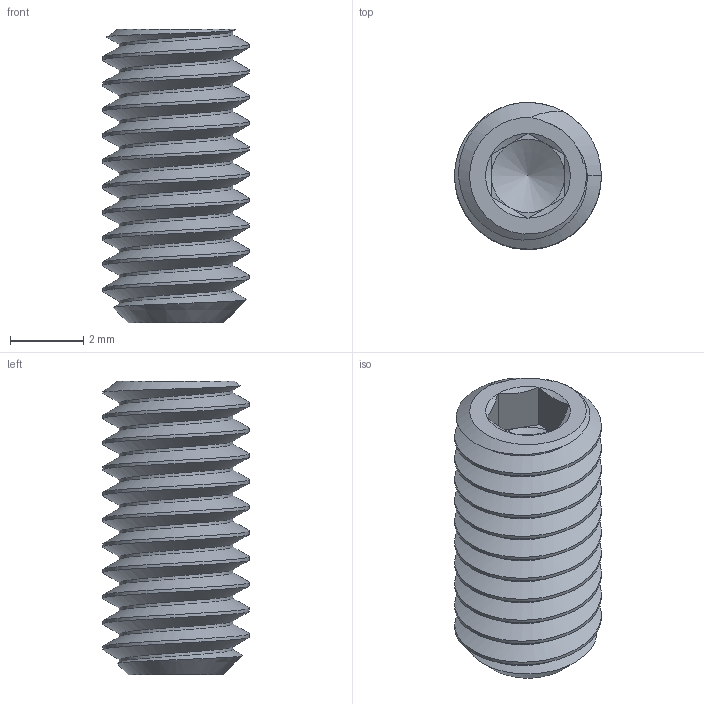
import cadquery as cq
import math

MAJOR_DIAMETER = 4.0
LENGTH = 8.0
PITCH = 0.7
FLANK_ANGLE = math.radians(30)
ROOT_FLAT = PITCH / 8
CREST_FLAT = PITCH / 8
CREST_HEIGHT_AT_X = 0.55

POINT_DIAMETER = 2.6
TOP_FACE_DIAMETER = 3.18
TOP_CHAMFER_ANGLE = math.radians(35)

HEX_ACROSS_FLATS = 2.0
HEX_DEPTH = 1.25
COUNTERSINK_ANGLE = math.radians(30)
DRILL_TIP_ANGLE = math.radians(30)

MAJOR_RADIUS = MAJOR_DIAMETER / 2
POINT_RADIUS = POINT_DIAMETER / 2
TOP_FACE_RADIUS = TOP_FACE_DIAMETER / 2
HEX_CORNER_RADIUS = HEX_ACROSS_FLATS / math.sqrt(3)
GROOVE_FLANK_WIDTH = (PITCH - ROOT_FLAT - CREST_FLAT) / 2
ROOT_RADIUS = MAJOR_RADIUS - GROOVE_FLANK_WIDTH / math.tan(FLANK_ANGLE)
TRIM_CLEARANCE = 0.1
OVERRUN_TURNS = 2


def make_end_trim():
    """Turned shape that chamfers both ends and stands clear of the thread crests between them."""
    clear_radius = MAJOR_RADIUS + TRIM_CLEARANCE
    point_chamfer = clear_radius - POINT_RADIUS
    top_drop = (clear_radius - TOP_FACE_RADIUS) * math.tan(TOP_CHAMFER_ANGLE)
    return (
        cq.Workplane("XZ")
        .lineTo(POINT_RADIUS, 0)
        .lineTo(clear_radius, point_chamfer)
        .lineTo(clear_radius, LENGTH - top_drop)
        .lineTo(TOP_FACE_RADIUS, LENGTH)
        .lineTo(0, LENGTH)
        .close()
        .revolve(360, (0, 0, 0), (0, 1, 0))
    )


def make_threaded_rod():
    """Rod with a full thread, built turn by turn and reaching past both ends of the body."""
    half_root = ROOT_FLAT / 2
    profile = [
        (ROOT_RADIUS, -half_root),
        (ROOT_RADIUS, half_root),
        (MAJOR_RADIUS, (PITCH - CREST_FLAT) / 2),
        (MAJOR_RADIUS, (PITCH + CREST_FLAT) / 2),
        (ROOT_RADIUS, PITCH - half_root),
    ]
    start = CREST_HEIGHT_AT_X - PITCH / 2 - OVERRUN_TURNS * PITCH
    turns = math.ceil((LENGTH - start) / PITCH) + OVERRUN_TURNS
    bottom = start - half_root

    def helix(corner):
        radius, height = corner
        return cq.Wire.makeHelix(PITCH, PITCH, radius, center=cq.Vector(0, 0, start + height)).Edges()[0]

    strips = [
        cq.Face.makeRuledSurface(helix(lower), helix(upper))
        for lower, upper in zip(profile, profile[1:])
    ]
    faces = [
        strip.translate(cq.Vector(0, 0, turn * PITCH))
        for turn in range(turns)
        for strip in strips
    ]

    axis = cq.Edge.makeLine(cq.Vector(0, 0, bottom), cq.Vector(0, 0, bottom + PITCH))
    ramp = cq.Face.makeRuledSurface(axis, helix(profile[0]))
    step_corners = [cq.Vector(radius, 0, start + height) for radius, height in profile]
    step_corners += [cq.Vector(0, 0, bottom + PITCH), cq.Vector(0, 0, bottom)]
    step = cq.Face.makeFromWires(cq.Wire.makePolygon(step_corners, close=True))
    to_top = cq.Vector(0, 0, turns * PITCH)
    faces += [ramp, step, ramp.translate(to_top), step.translate(to_top)]
    return cq.Workplane(cq.Solid.makeSolid(cq.Shell.makeShell(faces)))


def make_cone(radius, slope_angle, top):
    """Downward-pointing cone with its base at height top."""
    depth = radius * math.tan(slope_angle)
    return cq.Workplane(cq.Solid.makeCone(radius, 0, depth, cq.Vector(0, 0, top), cq.Vector(0, 0, -1)))


def make_socket():
    """Hexagon with two corners on Y, countersunk mouth and drill tip below its floor."""
    floor = LENGTH - HEX_DEPTH
    hexagon = (
        cq.Workplane("XY")
        .workplane(offset=floor)
        .polygon(6, 2 * HEX_CORNER_RADIUS)
        .extrude(HEX_DEPTH)
        .rotate((0, 0, 0), (0, 0, 1), 30)
    )
    countersink = make_cone(HEX_CORNER_RADIUS, COUNTERSINK_ANGLE, LENGTH)
    drill_tip = make_cone(HEX_ACROSS_FLATS / 2, DRILL_TIP_ANGLE, floor)
    return hexagon.union(countersink).union(drill_tip)


screw = make_threaded_rod().intersect(make_end_trim()).cut(make_socket())
result = screw.solids()